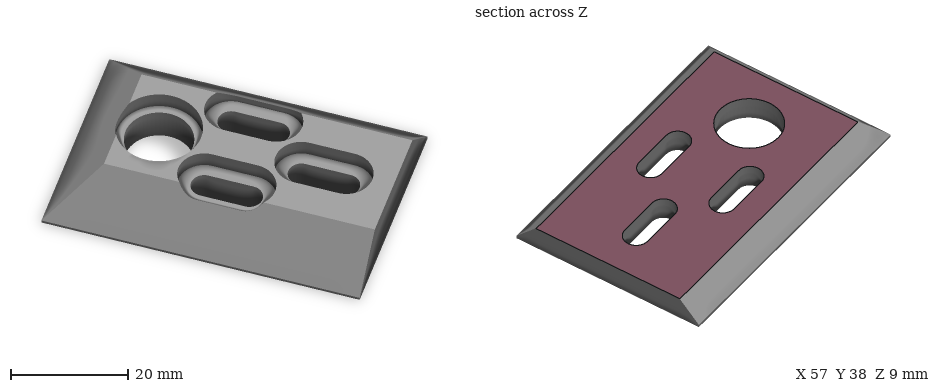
import cadquery as cq

length = 57.0
width = 38.0
height = 9.0
rim_height = 0.5
slope = height - rim_height

hole_x = 15.0
hole_diameter = 12.0
counterbore_diameter = 15.0
counterbore_depth = 3.0

slot_length = 12.75
slot_width = 4.7
recess_border = 2.3
recess_depth = 3.0
pair_x = 29.5
pair_y = 7.5
single_x = 44.5
slot_centers = [(pair_x, -pair_y), (pair_x, pair_y), (single_x, 0)]


def sloped_body():
    """Block on a thin upright rim, with sloped -X, -Y and +Y sides."""
    end_profile = [
        (-width / 2, 0),
        (width / 2, 0),
        (width / 2, rim_height),
        (width / 2 - slope, height),
        (-width / 2 + slope, height),
        (-width / 2, rim_height),
    ]
    side_profile = [(0, 0), (length, 0), (length, height), (slope, height), (0, rim_height)]
    across = cq.Workplane("YZ").polyline(end_profile).close().extrude(length)
    along = cq.Workplane("XZ").polyline(side_profile).close().extrude(width / 2, both=True)
    return across.intersect(along)


def cut_stepped_hole(body):
    """Through hole with a flat-bottomed counterbore from the top."""
    hole = cq.Workplane("XY").center(hole_x, 0).circle(hole_diameter / 2).extrude(height)
    counterbore = (
        cq.Workplane("XY", origin=(hole_x, 0, height - counterbore_depth))
        .circle(counterbore_diameter / 2)
        .extrude(counterbore_depth)
    )
    return body.cut(hole).cut(counterbore)


def cut_stepped_slots(body):
    """Through slots, each inside an evenly offset recess from the top."""
    slots = cq.Workplane("XY").pushPoints(slot_centers).slot2D(slot_length, slot_width).extrude(height)
    recesses = (
        cq.Workplane("XY", origin=(0, 0, height - recess_depth))
        .pushPoints(slot_centers)
        .slot2D(slot_length + 2 * recess_border, slot_width + 2 * recess_border)
        .extrude(recess_depth)
    )
    return body.cut(slots).cut(recesses)


result = cut_stepped_slots(cut_stepped_hole(sloped_body()))